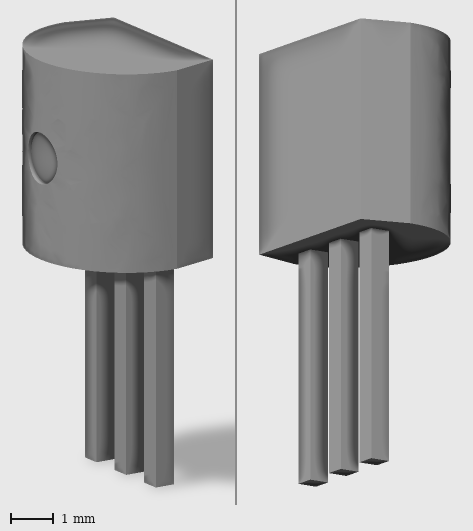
import cadquery as cq


body_width = 4.83
body_depth = 3.44
body_height = 4.83
back_width = 4.23
back_y = 1.2
front_radius = body_depth - back_y

mark_diameter = 1.25
mark_depth = 0.16
mark_z = 2.46

lead_count = 3
lead_pitch = 1.27
lead_size = 0.5
lead_length = 5.54
lead_front_y = 0.0


def make_body():
    """Prism with a flat back, slanted sides and a half-elliptical front."""
    half_width = body_width / 2
    half_back = back_width / 2
    return (
        cq.Workplane("XY")
        .moveTo(half_width, 0)
        .lineTo(half_back, back_y)
        .lineTo(-half_back, back_y)
        .lineTo(-half_width, 0)
        .ellipseArc(half_width, front_radius, 180, 360, startAtCurrent=True)
        .close()
        .extrude(body_height)
    )


def make_mark_cutter():
    """Cylinder along Y that leaves a flat-bottomed round recess in the front."""
    return (
        cq.Workplane("XZ", origin=(0, mark_depth - front_radius, mark_z))
        .circle(mark_diameter / 2)
        .extrude(2 * mark_depth)
    )


def make_lead(index):
    """Square lead hanging from the underside; index counts along +X."""
    lead_x = (index - (lead_count - 1) / 2) * lead_pitch
    lead_y = lead_front_y + lead_size / 2
    return (
        cq.Workplane("XY")
        .center(lead_x, lead_y)
        .rect(lead_size, lead_size)
        .extrude(-lead_length)
    )


result = make_body().cut(make_mark_cutter())
for lead_index in range(lead_count):
    result = result.union(make_lead(lead_index))